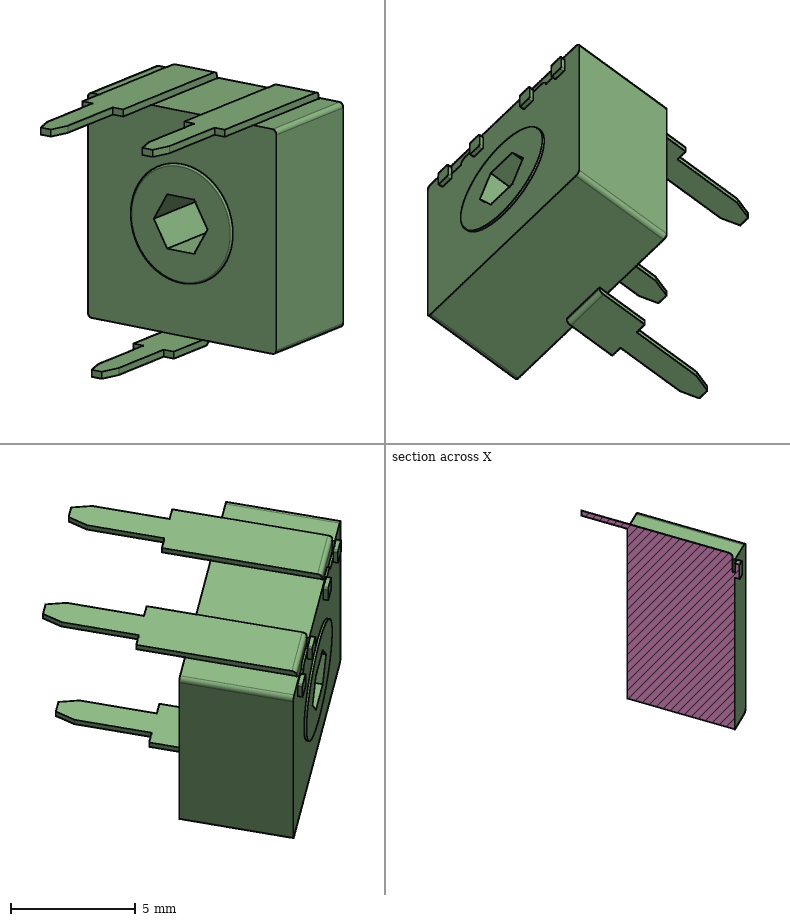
import cadquery as cq
import math

BODY_WIDTH = 9.27
BODY_DEPTH = 4.7
BODY_HEIGHT = 9.454
BODY_EDGE_RADIUS = 0.2
FRONT_Y = -BODY_DEPTH / 2
BACK_Y = BODY_DEPTH / 2

ROTOR_RADIUS = 2.5
ROTOR_STANDOUT = 0.1
ROTOR_RIM_RADIUS = 0.08
HEX_ACROSS_CORNERS = 2.64

NOTCH_GAP = 0.1
NOTCH_INNER_DEPTH = 0.4
NOTCH_STEP_RADIUS = 0.3
NOTCH_STEP_X = 2.6

LEAD_THICKNESS = 0.3
LEAD_WIDTH = 2.0
PIN_WIDTH = 1.0
TIP_WIDTH = 0.5
SHOULDER_REACH = 2.0
TIP_REACH = 6.0
TIP_LENGTH = 0.82
LEAD_BEND_RADIUS = 0.2
TOP_LEAD_OFFSET = 2.5
TOP_LEAD_BACK_Y = BACK_Y - NOTCH_GAP
BOTTOM_LEAD_OVERLAP = 0.43
BOTTOM_LEAD_BACK_Y = FRONT_Y + BOTTOM_LEAD_OVERLAP

PAD_WIDTH = 0.62
PAD_HEIGHT = 0.82
PAD_STANDOUT = 0.2
PAD_CORNER_RADIUS = 0.08
PAD_TOP_GAP = 0.19
PAD_CENTRES_X = (-3.46, -1.53, 1.53, 3.46)


def make_body():
    """Block with the four edges along Y rounded."""
    block = cq.Workplane("XY").box(BODY_WIDTH, BODY_DEPTH, BODY_HEIGHT)
    return block.edges("|Y").fillet(BODY_EDGE_RADIUS)


def make_rotor():
    """Disc through the body with a rounded front rim."""
    disc = (
        cq.Workplane("XZ")
        .circle(ROTOR_RADIUS)
        .extrude(BODY_DEPTH / 2 + ROTOR_STANDOUT, both=True)
    )
    return disc.faces("<Y").edges().fillet(ROTOR_RIM_RADIUS)


def make_hex_hole():
    """Hexagonal prism, corners on the X axis, longer than the rotor."""
    return cq.Workplane("XZ").polygon(6, HEX_ACROSS_CORNERS).extrude(BODY_DEPTH, both=True)


def make_notch():
    """Cutter for the notch at +X: its floor steps down outward over a rounded corner."""
    top_z = BODY_HEIGHT / 2
    inner_x = TOP_LEAD_OFFSET - LEAD_WIDTH / 2
    outer_x = TOP_LEAD_OFFSET + LEAD_WIDTH / 2
    inner_floor_z = top_z - NOTCH_INNER_DEPTH
    outer_floor_z = inner_floor_z - NOTCH_STEP_RADIUS
    arc_center_x = NOTCH_STEP_X - NOTCH_STEP_RADIUS
    arc_reach = NOTCH_STEP_RADIUS * math.cos(math.radians(45))
    return (
        cq.Workplane("XZ", origin=(0, BACK_Y, 0))
        .moveTo(inner_x, top_z)
        .lineTo(inner_x, inner_floor_z)
        .lineTo(arc_center_x, inner_floor_z)
        .threePointArc(
            (arc_center_x + arc_reach, outer_floor_z + arc_reach),
            (NOTCH_STEP_X, outer_floor_z),
        )
        .lineTo(outer_x, outer_floor_z)
        .lineTo(outer_x, top_z)
        .close()
        .extrude(NOTCH_GAP)
    )


def make_lead(center_x, back_y):
    """Stepped flat pin on the top face, with its upper back edge rounded."""
    shoulder_y = FRONT_Y - SHOULDER_REACH
    tip_y = FRONT_Y - TIP_REACH
    half_outline = [
        (0, back_y),
        (LEAD_WIDTH / 2, back_y),
        (LEAD_WIDTH / 2, shoulder_y),
        (PIN_WIDTH / 2, shoulder_y),
        (PIN_WIDTH / 2, tip_y + TIP_LENGTH),
        (TIP_WIDTH / 2, tip_y),
        (0, tip_y),
    ]
    lead = (
        cq.Workplane("XY", origin=(0, 0, BODY_HEIGHT / 2))
        .polyline(half_outline)
        .mirrorY()
        .extrude(LEAD_THICKNESS)
    )
    lead = lead.faces(">Y").edges(">Z").fillet(LEAD_BEND_RADIUS)
    return lead.translate((center_x, 0, 0))


def make_pad(center_x):
    """Block standing on the back face, with rounded corners."""
    center_z = BODY_HEIGHT / 2 - PAD_TOP_GAP - PAD_HEIGHT / 2
    center_y = BACK_Y + PAD_STANDOUT / 2
    pad = cq.Workplane("XY").box(PAD_WIDTH, PAD_STANDOUT, PAD_HEIGHT)
    return pad.edges("|Y").fillet(PAD_CORNER_RADIUS).translate((center_x, center_y, center_z))


notch = make_notch()
result = make_body().cut(notch).cut(notch.mirror("YZ"))
result = result.union(make_rotor()).cut(make_hex_hole())

for side in (-1, 1):
    result = result.union(make_lead(side * TOP_LEAD_OFFSET, TOP_LEAD_BACK_Y))
result = result.union(make_lead(0, BOTTOM_LEAD_BACK_Y).mirror("XY"))

for pad_x in PAD_CENTRES_X:
    result = result.union(make_pad(pad_x))